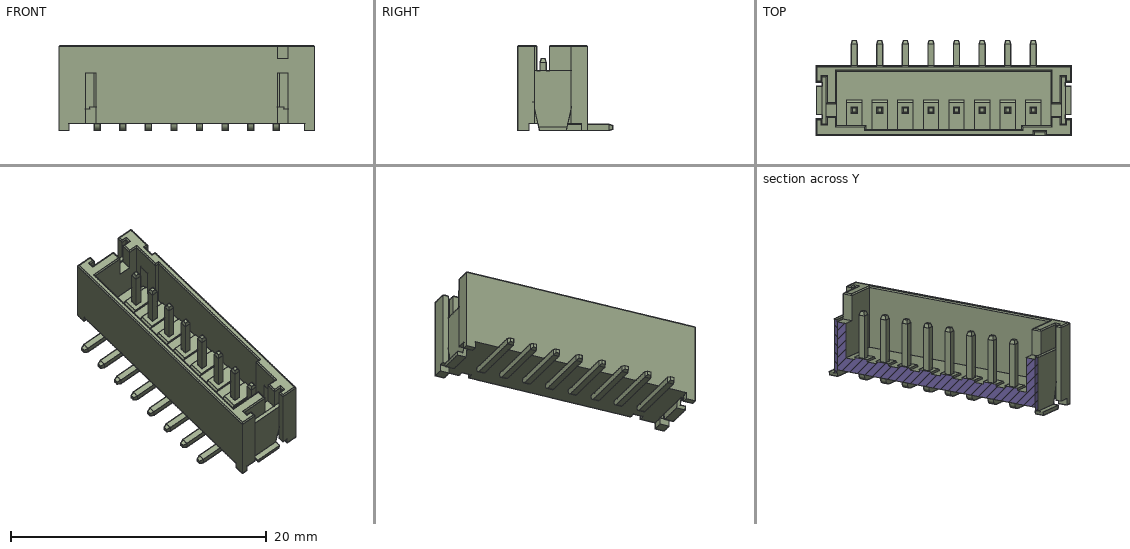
import cadquery as cq


LENGTH = 20.0
DEPTH = 5.48
HEIGHT = 6.65
UNDERSIDE_Z = 0.55
TOP_CHAMFER = 0.1

FOOT_LENGTH = 0.78
FRONT_FOOT_DEPTH = 0.9
BACK_FOOT_DEPTH = 0.48

CAVITY_LENGTH = 16.75
CAVITY_FLOOR_Z = 1.68
FRONT_WALL = 0.5
BACK_WALL = 0.45
KEY_THICKNESS = 0.3
KEY_GAP_LENGTH = 12.15

WINDOW_X = 7.5
WINDOW_WIDTH = 0.85
WINDOW_TOP_Z = 4.5
NOTCH_DEPTH = 0.3
NOTCH_BOTTOM_Z = 5.65

END_GAP_FRONT_Y = 1.52
END_GAP_BACK_Y = 2.48
END_GAP_BOTTOM_Z = 4.5

TAB_THICKNESS = 0.3
TAB_OUTER_X = 9.5
TAB_INNER_X = TAB_OUTER_X - TAB_THICKNESS
TAB_Y = 2.75
TAB_WIDTH = 3.65
TAB_TOP_Z = 4.68
TAB_TAPER_TOP_Z = 3.48
TAB_BOTTOM_WIDTH = 2.1
TAB_FOOT_END_X = 9.95
SLOT_OPENING_WIDTH = 2.85

PIN_COUNT = 8
PIN_PITCH = 2.0
PIN_SIZE = 0.5
PIN_BEND_RADIUS = 0.48
PIN_Y = 2.0
PIN_TOP_Z = 5.65
PIN_TAIL_END_Y = 7.45
PIN_TIP_LENGTH = 0.3
PIN_TIP_INSET = 0.1
PAD_WIDTH = 1.2
PAD_HEIGHT = 0.18
PAD_BACK_Y = 2.78

PIN_POSITIONS = [(i - (PIN_COUNT - 1) / 2) * PIN_PITCH for i in range(PIN_COUNT)]
KEY_INNER_Y = FRONT_WALL + KEY_THICKNESS


def block(x_range, y_range, z_range):
    """Box between the given pairs of limits, in either order along X."""
    x0, x1 = sorted(x_range)
    y0, y1 = y_range
    z0, z1 = z_range
    return cq.Workplane("XY").box(x1 - x0, y1 - y0, z1 - z0, centered=False).translate((x0, y0, z0))


def make_shell():
    """Outer block standing on four corner feet."""
    half = LENGTH / 2
    shell = block((-half, half), (0, DEPTH), (UNDERSIDE_Z, HEIGHT))
    for side in (-1, 1):
        foot_x = (side * (half - FOOT_LENGTH), side * half)
        shell = shell.union(block(foot_x, (0, FRONT_FOOT_DEPTH), (0, UNDERSIDE_Z)))
        shell = shell.union(block(foot_x, (DEPTH - BACK_FOOT_DEPTH, DEPTH), (0, UNDERSIDE_Z)))
    return shell


def make_cavity():
    """Cavity space, one step wider at the front between the two keys."""
    z_range = (CAVITY_FLOOR_Z, HEIGHT)
    half = CAVITY_LENGTH / 2
    key_half = KEY_GAP_LENGTH / 2
    cavity = block((-half, half), (KEY_INNER_Y, DEPTH - BACK_WALL), z_range)
    return cavity.union(block((-key_half, key_half), (FRONT_WALL, KEY_INNER_Y), z_range))


def make_end_cut(side):
    """T-slot for one solder tab and the gap joining it to the cavity."""
    inner_x = side * TAB_INNER_X
    outer_x = side * TAB_OUTER_X
    half_width = TAB_WIDTH / 2
    half_opening = SLOT_OPENING_WIDTH / 2
    slot = block((inner_x, outer_x), (TAB_Y - half_width, TAB_Y + half_width), (0, HEIGHT))
    opening = block(
        (inner_x, side * LENGTH / 2), (TAB_Y - half_opening, TAB_Y + half_opening), (0, HEIGHT)
    )
    gap = block(
        (side * CAVITY_LENGTH / 2, inner_x), (END_GAP_FRONT_Y, END_GAP_BACK_Y), (END_GAP_BOTTOM_Z, HEIGHT)
    )
    return slot.union(opening).union(gap)


def make_window(side):
    """Front window: a groove up to the floor, open into the cavity above it."""
    x_range = (side * WINDOW_X - WINDOW_WIDTH / 2, side * WINDOW_X + WINDOW_WIDTH / 2)
    groove = block(x_range, (0, FRONT_WALL), (UNDERSIDE_Z, WINDOW_TOP_Z))
    return groove.union(block(x_range, (FRONT_WALL, KEY_INNER_Y), (CAVITY_FLOOR_Z, WINDOW_TOP_Z)))


def make_notch():
    """Shallow notch at the top of the front face, above the right-hand window."""
    x_range = (WINDOW_X - WINDOW_WIDTH / 2, WINDOW_X + WINDOW_WIDTH / 2)
    return block(x_range, (0, NOTCH_DEPTH), (NOTCH_BOTTOM_Z, HEIGHT))


def make_pad(x):
    """Raised pad around one pin, sloping down to the floor at the back."""
    pad_top_z = CAVITY_FLOOR_Z + PAD_HEIGHT
    profile = [
        (FRONT_WALL, CAVITY_FLOOR_Z),
        (PAD_BACK_Y, CAVITY_FLOOR_Z),
        (PAD_BACK_Y - PAD_HEIGHT, pad_top_z),
        (FRONT_WALL, pad_top_z),
    ]
    start = cq.Workplane("YZ", origin=(x - PAD_WIDTH / 2, 0, 0))
    return start.polyline(profile).close().extrude(PAD_WIDTH)


def make_tip(plane):
    """Tapered pin tip growing from the given plane."""
    tip_size = PIN_SIZE - 2 * PIN_TIP_INSET
    return (
        cq.Workplane(plane)
        .rect(PIN_SIZE, PIN_SIZE)
        .workplane(offset=PIN_TIP_LENGTH)
        .rect(tip_size, tip_size)
        .loft()
    )


def make_pin(x):
    """Square pin bent from the vertical contact to the horizontal tail, with tapered ends."""
    half = PIN_SIZE / 2
    front_y = PIN_Y - half
    shoulder_z = PIN_TOP_Z - PIN_TIP_LENGTH
    shoulder_y = PIN_TAIL_END_Y - PIN_TIP_LENGTH
    x_range = (x - half, x + half)
    contact = block(x_range, (front_y, PIN_Y + half), (0, shoulder_z))
    tail = block(x_range, (front_y, shoulder_y), (0, PIN_SIZE))
    bent = contact.union(tail).edges("|X and <Y and <Z").fillet(PIN_BEND_RADIUS)
    contact_tip = make_tip(cq.Plane((x, PIN_Y, shoulder_z), (1, 0, 0), (0, 0, 1)))
    tail_tip = make_tip(cq.Plane((x, shoulder_y, half), (1, 0, 0), (0, 1, 0)))
    return bent.union(contact_tip).union(tail_tip)


def make_housing():
    """Housing in one piece with its row of moulded-in pins."""
    housing = make_shell().cut(make_cavity())
    for side in (-1, 1):
        housing = housing.cut(make_end_cut(side))
    housing = housing.cut(make_notch())
    housing = housing.faces(">Z").edges().chamfer(TOP_CHAMFER)
    for side in (-1, 1):
        housing = housing.cut(make_window(side))
    for x in PIN_POSITIONS:
        housing = housing.union(make_pad(x))
        housing = housing.union(make_pin(x))
    return housing


def make_solder_tab(side):
    """L-shaped sheet-metal tab: a blade tapering downwards, with its foot bent outwards."""
    half_width = TAB_WIDTH / 2
    half_bottom = TAB_BOTTOM_WIDTH / 2
    outline = [
        (TAB_Y - half_bottom, 0),
        (TAB_Y + half_bottom, 0),
        (TAB_Y + half_width, TAB_TAPER_TOP_Z),
        (TAB_Y + half_width, TAB_TOP_Z),
        (TAB_Y - half_width, TAB_TOP_Z),
        (TAB_Y - half_width, TAB_TAPER_TOP_Z),
    ]
    start = cq.Workplane("YZ", origin=(side * TAB_INNER_X, 0, 0))
    tab = start.polyline(outline).close().extrude(side * (TAB_FOOT_END_X - TAB_INNER_X))
    above_foot = block(
        (side * TAB_OUTER_X, side * TAB_FOOT_END_X),
        (TAB_Y - half_width, TAB_Y + half_width),
        (TAB_THICKNESS, TAB_TOP_Z),
    )
    return tab.cut(above_foot)


housing = make_housing()
solder_tabs = [make_solder_tab(side) for side in (-1, 1)]

result = cq.Compound.makeCompound([housing.val(), *[tab.val() for tab in solder_tabs]])